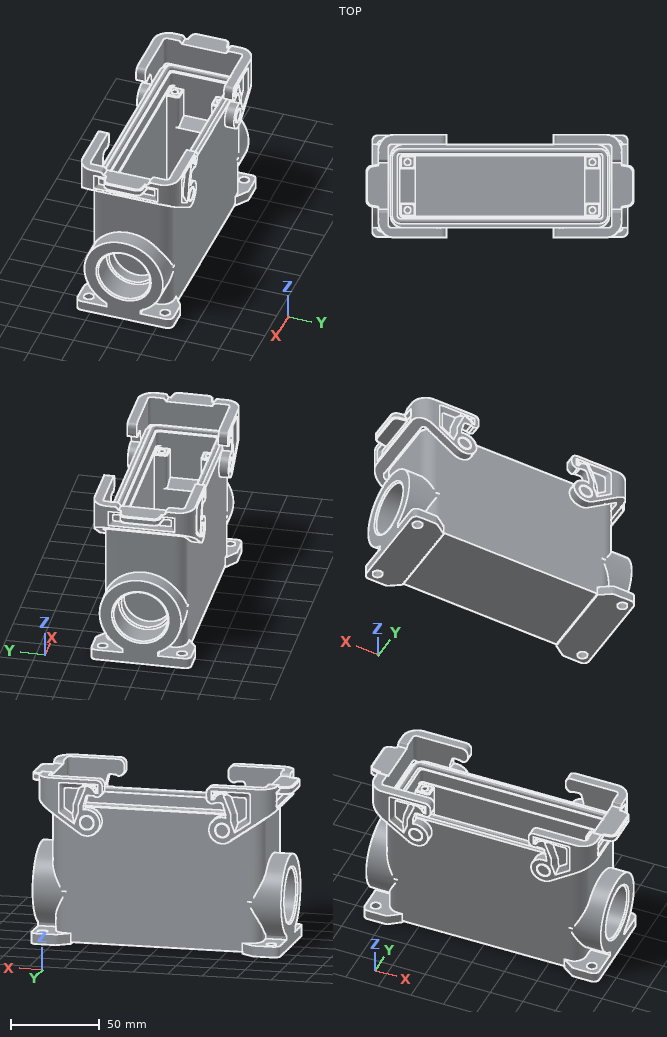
import cadquery as cq
import math

PICK_MARGIN = 0.1

BODY_HALF_X = 61.7
BODY_HALF_Y = 23.5
BODY_CORNER_R = 7.3
BODY_TOP = 80.0
BODY_BOTTOM = 1.0
LOWER_HALF_X = 60.0
LOWER_STEP_Z = 30.2

RIDGE_OUTER_X = 60.6
RIDGE_OUTER_Y = 21.1
RIDGE_WIDTH = 2.8
RIDGE_TOP = 81.5
RIDGE_CORNER_R = 4.5
RIDGE_ROUND = 1.3
SEAT_Z = 79.0

CAVITY_HALF_X = 56.3
UPPER_CAVITY_HALF_Y = 17.6
LOWER_CAVITY_HALF_Y = 17.0
CAVITY_STEP_Z = 69.9
CAVITY_CORNER_R = 2.0
FLOOR_Z = 5.0

POST_X = 52.0
POST_Y = 13.5
POST_TOP = 69.0
POST_INNER_X = 47.8
POST_INNER_Y = 9.7
POST_CORNER_R = 1.5
POST_CHAMFER = 0.6
POST_HOLE_D = 3.7
POST_HOLE_DEPTH = 12.0
BLOCK_INNER_X = POST_INNER_X
BLOCK_INNER_Z = 47.5
BLOCK_SLOPE = 19.0

ENTRY_FACE_X = 72.0
ENTRY_Z = 29.7
ENTRY_R = BODY_HALF_Y
ENTRY_ROOT_X = 52.7
BORE_D = 31.0
BORE_DEPTH = 15.0
BORE_CHAMFER = 0.9
KNOCKOUT_D = 28.0
KNOCKOUT_DEPTH = 22.0
NECK_HALF_Y = 10.1
NECK_FILLET = 1.0

FLANGE_HALF_Y = 28.7
FLANGE_TOP = 6.2
FLANGE_CORNER_R = 3.4
FLANGE_SLANT_X = 57.0
FLANGE_INNER_X = 49.7
FLANGE_HOLE_X = 66.3
FLANGE_HOLE_Y = 22.8
FLANGE_HOLE_D = 5.7

LEVER_OUTER_X = 68.5
LEVER_INNER_X = 62.9
LEVER_HALF_Y = 29.0
LEVER_TOP = 96.9
LEVER_CORNER_R = 9.0
LEVER_INNER_R = 2.0
LEVER_END_Z = 83.1
PIVOT_X = 39.2
PIVOT_Z = 72.0
PIVOT_R = 7.6
PIN_R = 4.1
PIN_GROOVE = 0.25
HOOK_TIP_X = 30.1
HOOK_TIP_R = 3.5
HOOK_LIP_Z = 87.1
HOOK_MOUTH = (-35.2, 87.8)
THROAT_TOP = (-38.2, 88.0)
THROAT_MID = (-39.2, 87.6)
THROAT_END = (-39.8, 86.6)
HOOK_BACK_X = 41.1
HOOK_BACK_Z = 81.7

SIDE_RECESS_DEPTH = 2.0
TAIL_RECESS_DEPTH = 1.0
SIDE_RECESS_R = 2.6
POCKET_RIM = [
    (-55.5, 94.5), (-40.0, 94.5), (-40.3, 91.5), (-44.2, 81.8),
    (-44.2, 77.5), (-46.5, 71.2), (-55.5, 77.4),
]
POCKET_FLOOR = [
    (-52.7, 91.2), (-44.3, 91.2), (-44.4, 90.8), (-47.4, 81.8),
    (-47.6, 78.0), (-48.0, 76.3), (-52.7, 79.6),
]
TAIL_RIM = [
    (-41.5, 94.5), (-32.9, 94.5), (-32.9, 89.6), (-34.4, 89.6),
    (-35.6, 91.5), (-37.1, 92.8), (-39.1, 93.4), (-41.5, 92.0),
]
TAIL_FLOOR = [
    (-41.5, 93.6), (-35.2, 93.6), (-33.5, 91.6), (-33.9, 91.4),
    (-35.0, 92.6), (-36.8, 93.3), (-39.1, 93.5), (-41.5, 93.0),
]
END_RECESS_HALF_Y = 19.2
END_RECESS_BOTTOM = 84.6
END_RECESS_TOP = 93.5
END_RECESS_DEPTH = 1.7
END_RECESS_R = 1.2
END_RECESS_RUN = 2.4

TAB_TIP_X = 75.25
TAB_BOTTOM = 90.6
TAB_TOP = 95.0
TAB_TIP_HALF_Y = 11.0
TAB_ROOT_HALF_Y = 13.1
TAB_CORNER_R = 3.5
TAB_EDGE = 0.6
NOTCH_TOP_HALF_Y = 14.6
NOTCH_ROUND = 1.2


def both_ends(shape):
    """The shape at the -X end together with its mirror image at the +X end."""
    return shape.union(shape.mirror("YZ"))


def rounded_block(half_x, half_y, bottom, top, radius):
    """Upright block centred on the Z axis with rounded vertical edges."""
    block = cq.Workplane("XY").workplane(offset=bottom)
    return block.rect(2 * half_x, 2 * half_y).extrude(top - bottom).edges("|Z").fillet(radius)


def cylinder_x(radius, start_x, end_x):
    """Cylinder along X on the cable entry axis."""
    plane = cq.Workplane("YZ", origin=(start_x, 0, ENTRY_Z))
    return plane.circle(radius).extrude(end_x - start_x)


def make_opening():
    """Space inside the ridge, down to the seat."""
    half_x = RIDGE_OUTER_X - RIDGE_WIDTH
    half_y = RIDGE_OUTER_Y - RIDGE_WIDTH
    return rounded_block(half_x, half_y, SEAT_Z, RIDGE_TOP, RIDGE_CORNER_R - RIDGE_WIDTH)


def make_body():
    lower = rounded_block(LOWER_HALF_X, BODY_HALF_Y, BODY_BOTTOM, BODY_TOP, BODY_CORNER_R)
    upper = rounded_block(BODY_HALF_X, BODY_HALF_Y, LOWER_STEP_Z, BODY_TOP, BODY_CORNER_R)
    rim = rounded_block(RIDGE_OUTER_X, RIDGE_OUTER_Y, LOWER_STEP_Z, RIDGE_TOP, RIDGE_CORNER_R)
    return lower.union(upper).union(rim).cut(make_opening()).faces(">Z").edges().fillet(RIDGE_ROUND)


def make_cavity():
    upper = rounded_block(
        CAVITY_HALF_X, UPPER_CAVITY_HALF_Y, CAVITY_STEP_Z, RIDGE_TOP, CAVITY_CORNER_R
    )
    lower = rounded_block(
        CAVITY_HALF_X, LOWER_CAVITY_HALF_Y, FLOOR_Z, CAVITY_STEP_Z, CAVITY_CORNER_R
    )
    return upper.union(lower)


def make_posts():
    size_x = CAVITY_HALF_X - POST_INNER_X
    size_y = LOWER_CAVITY_HALF_Y - POST_INNER_Y
    posts = cq.Workplane("XY")
    for side_y in (-1, 1):
        post = (
            cq.Workplane("XY")
            .workplane(offset=BODY_BOTTOM)
            .center(-POST_INNER_X - size_x / 2, side_y * (POST_INNER_Y + size_y / 2))
            .rect(size_x, size_y)
            .extrude(POST_TOP - BODY_BOTTOM)
            .edges("|Z and >X")
            .edges(">Y" if side_y < 0 else "<Y")
            .fillet(POST_CORNER_R)
            .faces(">Z")
            .chamfer(POST_CHAMFER)
        )
        hole = (
            cq.Workplane("XY", origin=(-POST_X, side_y * POST_Y, POST_TOP))
            .circle(POST_HOLE_D / 2)
            .extrude(-POST_HOLE_DEPTH)
        )
        posts = posts.union(post.cut(hole))
    return posts


def make_end_block():
    outer_x = (BODY_HALF_X + CAVITY_HALF_X) / 2
    rise = (outer_x - BLOCK_INNER_X) * math.tan(math.radians(BLOCK_SLOPE))
    return (
        cq.Workplane("XZ", origin=(0, POST_Y, 0))
        .polyline([
            (-outer_x, BODY_BOTTOM),
            (-BLOCK_INNER_X, BODY_BOTTOM),
            (-BLOCK_INNER_X, BLOCK_INNER_Z),
            (-outer_x, BLOCK_INNER_Z + rise),
        ])
        .close()
        .extrude(2 * POST_Y)
    )


def make_entry():
    length = ENTRY_FACE_X - ENTRY_ROOT_X
    neck = (
        cq.Workplane("XY")
        .box(length, 2 * NECK_HALF_Y, ENTRY_Z - BODY_BOTTOM, centered=(False, True, False))
        .translate((-ENTRY_FACE_X, 0, BODY_BOTTOM))
    )
    joint_z = ENTRY_Z - math.sqrt(ENTRY_R**2 - NECK_HALF_Y**2)
    joint = cq.selectors.BoxSelector(
        (-ENTRY_FACE_X, -NECK_HALF_Y - PICK_MARGIN, joint_z - PICK_MARGIN),
        (-ENTRY_ROOT_X, NECK_HALF_Y + PICK_MARGIN, joint_z + PICK_MARGIN),
    )
    entry = cylinder_x(ENTRY_R, -ENTRY_FACE_X, -ENTRY_ROOT_X).union(neck)
    return entry.edges(joint).edges("|X").fillet(NECK_FILLET)


def make_entry_bore():
    bore = cylinder_x(BORE_D / 2, -ENTRY_FACE_X, BORE_DEPTH - ENTRY_FACE_X)
    knockout = cylinder_x(KNOCKOUT_D / 2, -ENTRY_FACE_X, KNOCKOUT_DEPTH - ENTRY_FACE_X)
    mouth = cq.Workplane(cq.Solid.makeCone(
        BORE_D / 2 + BORE_CHAMFER, BORE_D / 2, BORE_CHAMFER,
        pnt=cq.Vector(-ENTRY_FACE_X, 0, ENTRY_Z), dir=cq.Vector(1, 0, 0),
    ))
    return bore.union(knockout).union(mouth)


def make_flange():
    plate = (
        cq.Workplane("XY")
        .polyline([
            (-ENTRY_FACE_X, -FLANGE_HALF_Y),
            (-FLANGE_SLANT_X, -FLANGE_HALF_Y),
            (-FLANGE_INNER_X, -BODY_HALF_Y),
            (-FLANGE_INNER_X, BODY_HALF_Y),
            (-FLANGE_SLANT_X, FLANGE_HALF_Y),
            (-ENTRY_FACE_X, FLANGE_HALF_Y),
        ])
        .close()
        .extrude(FLANGE_TOP)
        .edges("|Z and (<X or >Y or <Y)")
        .fillet(FLANGE_CORNER_R)
    )
    holes = (
        cq.Workplane("XY")
        .pushPoints([(-FLANGE_HOLE_X, -FLANGE_HOLE_Y), (-FLANGE_HOLE_X, FLANGE_HOLE_Y)])
        .circle(FLANGE_HOLE_D / 2)
        .extrude(FLANGE_TOP)
    )
    return plate.cut(holes)


def lever_side_outline():
    """Side shape of the lever: end bar, hook and pivot eye."""
    reach_x = LEVER_OUTER_X - PIVOT_X
    reach_z = PIVOT_Z - LEVER_END_Z
    tangent = math.atan2(reach_z, reach_x) - math.asin(PIVOT_R / math.hypot(reach_x, reach_z))
    eye_low = (-PIVOT_X + PIVOT_R * math.sin(tangent), PIVOT_Z - PIVOT_R * math.cos(tangent))
    eye_start_z = PIVOT_Z + math.sqrt(PIVOT_R**2 - (HOOK_BACK_X - PIVOT_X) ** 2)
    tip = -HOOK_TIP_X
    corner = HOOK_TIP_R * (1 - math.sqrt(0.5))
    return (
        cq.Workplane("XZ", origin=(0, LEVER_HALF_Y, 0))
        .moveTo(-LEVER_OUTER_X, LEVER_TOP)
        .lineTo(tip - HOOK_TIP_R, LEVER_TOP)
        .threePointArc((tip - corner, LEVER_TOP - corner), (tip, LEVER_TOP - HOOK_TIP_R))
        .lineTo(tip, HOOK_LIP_Z + HOOK_TIP_R)
        .threePointArc((tip - corner, HOOK_LIP_Z + corner), (tip - HOOK_TIP_R, HOOK_LIP_Z))
        .lineTo(*HOOK_MOUTH)
        .lineTo(*THROAT_TOP)
        .threePointArc(THROAT_MID, THROAT_END)
        .lineTo(-HOOK_BACK_X, HOOK_BACK_Z)
        .lineTo(-HOOK_BACK_X, eye_start_z)
        .threePointArc((-PIVOT_X + PIVOT_R, PIVOT_Z), eye_low)
        .lineTo(-LEVER_OUTER_X, LEVER_END_Z)
        .close()
    )


def make_lever_blank():
    outer = (
        cq.Workplane("XY")
        .box(LEVER_OUTER_X, 2 * LEVER_HALF_Y, LEVER_TOP, centered=(False, True, False))
        .translate((-LEVER_OUTER_X, 0, 0))
        .edges("|Z and <X")
        .fillet(LEVER_CORNER_R)
    )
    inner = (
        cq.Workplane("XY")
        .box(LEVER_INNER_X, 2 * BODY_HALF_Y, LEVER_TOP, centered=(False, True, False))
        .translate((-LEVER_INNER_X, 0, 0))
        .edges("|Z and <X")
        .fillet(LEVER_INNER_R)
    )
    return outer.cut(inner).intersect(lever_side_outline().extrude(2 * LEVER_HALF_Y))


def tapered_recess(rim, floor, depth):
    """Recess in the -Y cheek whose sides slope from the rim outline to the floor outline."""
    plane = cq.Workplane("XZ", origin=(0, -LEVER_HALF_Y, 0))
    return plane.polyline(rim).close().workplane(offset=-depth).polyline(floor).close().loft(ruled=True)


def make_side_recess():
    """Recess in the -Y cheek of the lever: sloping-sided pocket and a shallow tail in the hook."""
    pocket = tapered_recess(POCKET_RIM, POCKET_FLOOR, SIDE_RECESS_DEPTH)
    outer_half = cq.selectors.BoxSelector(
        (-LEVER_OUTER_X, -LEVER_HALF_Y, 0), (POCKET_FLOOR[0][0], 0, LEVER_TOP)
    )
    sloping_corners = pocket.edges(outer_half).edges("not #Y")
    pocket = sloping_corners.fillet(SIDE_RECESS_R)
    tail = tapered_recess(TAIL_RIM, TAIL_FLOOR, TAIL_RECESS_DEPTH)
    return pocket.union(tail)


def make_end_recess():
    height = END_RECESS_TOP - END_RECESS_BOTTOM
    middle_z = (END_RECESS_TOP + END_RECESS_BOTTOM) / 2
    taper = math.degrees(math.atan2(END_RECESS_RUN, END_RECESS_DEPTH))
    return (
        cq.Workplane("YZ", origin=(-LEVER_OUTER_X, 0, middle_z))
        .rect(2 * END_RECESS_HALF_Y, height)
        .extrude(END_RECESS_DEPTH, taper=taper)
        .edges("not(#X or |X)")
        .fillet(END_RECESS_R)
    )


def make_tab():
    return (
        cq.Workplane("XY")
        .workplane(offset=TAB_BOTTOM)
        .polyline([
            (-LEVER_INNER_X, -TAB_ROOT_HALF_Y),
            (-TAB_TIP_X, -TAB_TIP_HALF_Y),
            (-TAB_TIP_X, TAB_TIP_HALF_Y),
            (-LEVER_INNER_X, TAB_ROOT_HALF_Y),
        ])
        .close()
        .extrude(TAB_TOP - TAB_BOTTOM)
        .edges("|Z and <X")
        .fillet(TAB_CORNER_R)
        .faces("<X")
        .edges(">Z or <Z")
        .chamfer(TAB_EDGE)
    )


def make_tab_notch():
    return (
        cq.Workplane("YZ", origin=(-LEVER_OUTER_X, 0, 0))
        .polyline([
            (-TAB_ROOT_HALF_Y, TAB_TOP),
            (TAB_ROOT_HALF_Y, TAB_TOP),
            (NOTCH_TOP_HALF_Y, LEVER_TOP),
            (-NOTCH_TOP_HALF_Y, LEVER_TOP),
        ])
        .close()
        .extrude(LEVER_OUTER_X - LEVER_INNER_X)
    )


def make_pin_groove():
    return (
        cq.Workplane("XZ", origin=(-PIVOT_X, -LEVER_HALF_Y, PIVOT_Z))
        .circle(PIN_R)
        .circle(PIN_R - PIN_GROOVE)
        .extrude(-PIN_GROOVE)
    )


def make_lever():
    cheek_cuts = make_side_recess().union(make_pin_groove())
    lever = make_lever_blank().cut(cheek_cuts).cut(cheek_cuts.mirror("XZ"))
    notch_rims = cq.selectors.BoxSelector(
        (-LEVER_OUTER_X, -NOTCH_TOP_HALF_Y - PICK_MARGIN, LEVER_TOP - PICK_MARGIN),
        (-LEVER_INNER_X, NOTCH_TOP_HALF_Y + PICK_MARGIN, LEVER_TOP + PICK_MARGIN),
    )
    lever = lever.cut(make_tab_notch()).edges(notch_rims).fillet(NOTCH_ROUND)
    return lever.cut(make_end_recess()).union(make_tab())


body = make_body().union(both_ends(make_entry())).union(both_ends(make_flange()))
shell = body.cut(make_cavity())
shell = shell.union(both_ends(make_posts().union(make_end_block())))
shell = shell.cut(both_ends(make_entry_bore()))
result = shell.union(both_ends(make_lever()))